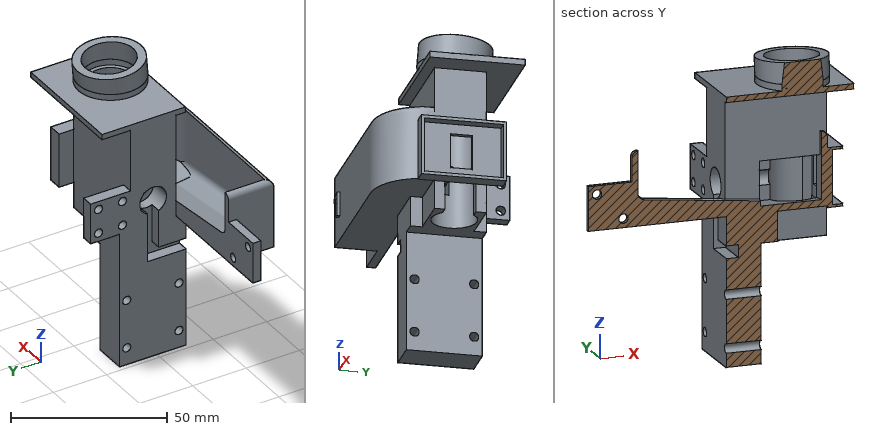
import cadquery as cq
import math


block_thickness = 12.0
block_depth = 25.0
body_bottom = 40.3
body_right = 34.7
body_front = 3.9
body_width = 17.0
body_back = body_front + body_width
body_mid_y = body_front + body_width / 2
step_top = 50.4

plate_length = 43.6
plate_front = 0.3
plate_depth = 31.3
plate_thickness = 2.0
plate_top = 90.4
tube_x = 26.1
tube_outer_d = 24.0
tube_inner_d = 18.0
bore_d = 15.0
collar_height = 2.2
tube_tilt = 4.5
overall_height = 99.9

guard_left = -32.2
guard_radius = 17.0
guard_front = body_front - guard_radius
guard_corner_x = body_right - guard_radius
guard_top = 75.5
guard_wall = 2.2
guard_round = 2.1
floor_round = 2.5
trough_fall_angle = math.radians(6.5)
side_slope_ratio = math.tan(math.radians(8.0))
chute_left = 11.8
chute_sill = 52.7

tab_height = 15.1
tab_top = step_top + tab_height
hole_d = 3.0
hole_inset = 3.0
hole_pitch = 9.0
tab_holes_z = (tab_top - hole_inset, tab_top - hole_inset - hole_pitch)
guard_tab_length = 14.8
guard_tab_thickness = 3.0
body_tab_back = 35.9
body_tab_thickness = 4.2

block_holes_y = (2.7, 22.3)
block_holes_z = (6.4, 24.4)

port_z = 59.1
port_d = 5.0
port_seat_d = 10.0
port_seat_depth = 8.0
groove_width = 4.1
groove_bottom = 36.5

chamber_right = body_right - guard_wall
chamber_top = 67.4
slot_width = 10.2

frame_thickness = 5.1
frame_width = 28.0
frame_height = 20.2
frame_bottom = 49.8
frame_rim = 1.0
frame_skin = 1.6
window_width = 7.2
window_height = 11.6

mark_right = -24.8
mark_bottom = 58.6
mark_height = 8.0
mark_width = 3.7
mark_stem = 1.8
mark_flag_drop = 1.2
mark_flag_end = 1.4
mark_depth = 1.0


def box(x0, x1, y0, y1, z0, z1):
    """Box between two corners."""
    return cq.Workplane("XY").box(x1 - x0, y1 - y0, z1 - z0, centered=False).translate((x0, y0, z0))


def rod_x(diameter, y, z, x0, x1):
    """Cylinder along X."""
    return cq.Workplane("YZ", origin=(x0, y, z)).circle(diameter / 2).extrude(x1 - x0)


def rod_y(diameter, x, z, y0, y1):
    """Cylinder along Y."""
    return cq.Workplane("XZ", origin=(x, y0, z)).circle(diameter / 2).extrude(y0 - y1)


def guard_prism(inset, z0, z1):
    """Upright prism of the guard outline, inset from its outer wall."""
    radius = guard_radius - inset
    diagonal = radius * math.sqrt(0.5)
    return (
        cq.Workplane("XY", origin=(0, 0, z0))
        .moveTo(guard_left + inset, body_front)
        .lineTo(guard_left + inset, body_front - radius)
        .lineTo(guard_corner_x, body_front - radius)
        .threePointArc(
            (guard_corner_x + diagonal, body_front - diagonal),
            (guard_corner_x + radius, body_front),
        )
        .close()
        .extrude(z1 - z0)
    )


def make_body():
    body = box(0, block_thickness, 0, block_depth, 0, step_top)
    body = body.union(box(0, guard_corner_x, 0, block_depth, body_bottom, step_top))
    return body.union(box(0, body_right, body_front, body_back, body_bottom, plate_top - plate_thickness))


def make_plate_and_tube():
    """Top plate, upright collar and the tube that leans back from the collar."""
    plate = box(
        0, plate_length, plate_front, plate_front + plate_depth, plate_top - plate_thickness, plate_top
    )
    collar_top = plate_top + collar_height
    tilt = math.radians(tube_tilt)
    rise = overall_height - collar_top - tube_outer_d / 2 * math.sin(tilt)
    tube_length = rise / math.cos(tilt)
    pivot = cq.Workplane("XY", origin=(tube_x, body_mid_y, collar_top))
    tilt_axis = ((tube_x, body_mid_y, collar_top), (tube_x + 1, body_mid_y, collar_top))
    below_collar_top = pivot.rect(2 * tube_outer_d, 2 * tube_outer_d).extrude(-tube_outer_d)

    def leaning(diameter):
        base = pivot.workplane(offset=-collar_height)
        rod = base.circle(diameter / 2).extrude(collar_height + tube_length)
        return rod.rotate(*tilt_axis, -tube_tilt).cut(below_collar_top)

    def upright(diameter):
        return pivot.circle(diameter / 2).extrude(-collar_height)

    tube = leaning(tube_outer_d).union(upright(tube_outer_d))
    tube = tube.cut(leaning(tube_inner_d)).cut(upright(tube_inner_d))
    return plate.union(tube)


def make_trough(right):
    """Space over the V-shaped guard floor, which falls towards the body, with rounds along the walls."""
    left = guard_left + guard_wall
    front = guard_front + guard_wall
    valley_y = (front + body_front) / 2
    half_width = 2 * (body_front - valley_y)
    side_rise = half_width * side_slope_ratio
    valley_z = chute_sill + (body_front - valley_y) * side_slope_ratio
    fall_line = cq.Vector(math.cos(trough_fall_angle), 0, -math.sin(trough_fall_angle))
    section_plane = cq.Plane(
        origin=(chute_left, valley_y, valley_z), xDir=(0, 1, 0), normal=fall_line
    )
    section = [
        (-half_width, side_rise),
        (0, 0),
        (half_width, side_rise),
        (half_width, guard_top),
        (-half_width, guard_top),
    ]
    wedge = cq.Workplane(section_plane).polyline(section).close().extrude(overall_height, both=True)
    trough = wedge.intersect(box(left, right, front, body_front, step_top, guard_top))
    end_edges = trough.faces("<X").edges("not (|Y or |Z)")
    front_edge = trough.faces("<Y").edges("not (|X or |Z)")
    return end_edges.add(front_edge).fillet(floor_round)


def make_space_over_chute():
    """Space over the plane that slopes from the guard's front wall down into the body."""
    front = guard_front + guard_wall
    sill_run = body_mid_y - body_front
    section = [
        (front, chute_sill + (body_front - front) * side_slope_ratio),
        (body_mid_y, chute_sill - sill_run * side_slope_ratio),
        (body_mid_y, guard_top),
        (front, guard_top),
    ]
    space = cq.Workplane("YZ", origin=(chute_left, 0, 0)).polyline(section).close()
    return space.extrude(chamber_right - chute_left)


def make_guard():
    guard = guard_prism(0, step_top, guard_top)
    guard = guard.faces(">Z").edges("not >Y").fillet(guard_round)

    chute = make_space_over_chute().intersect(guard_prism(guard_wall, step_top, guard_top))
    front = guard_front + guard_wall
    run_out = box(chute_left, guard_corner_x + floor_round, front, front + floor_round, step_top, guard_top)
    chute = chute.cut(run_out.cut(make_trough(guard_corner_x + floor_round)))
    guard = guard.cut(make_trough(chute_left)).cut(chute)

    tab_left = guard_left - guard_tab_length
    tab_front = body_front - guard_tab_thickness
    guard = guard.union(box(tab_left, guard_left, tab_front, body_front, step_top, tab_top))
    for i, z in enumerate(tab_holes_z):
        x = tab_left + hole_inset + i * hole_pitch
        guard = guard.cut(rod_y(hole_d, x, z, tab_front, body_front))
    return guard.union(make_mark())


def make_mark():
    """Raised index mark near the guard's left end."""
    left = mark_right - mark_width
    stem_left = mark_right - mark_stem
    top = mark_bottom + mark_height
    outline = [
        (mark_right, mark_bottom),
        (mark_right, top),
        (left, top - mark_flag_drop),
        (left, top - mark_flag_drop - mark_flag_end),
        (stem_left, top - mark_stem),
        (stem_left, mark_bottom),
    ]
    return cq.Workplane("XZ", origin=(0, guard_front, 0)).polyline(outline).close().extrude(mark_depth)


def make_frame():
    """Shallow tray on the right wall, open to the right, with a window in its floor."""
    y0 = body_mid_y - frame_width / 2
    y1 = y0 + frame_width
    z0 = frame_bottom
    z1 = z0 + frame_height
    x0 = body_right
    x1 = x0 + frame_thickness
    frame = box(x0, x1, y0, y1, z0, z1)
    return frame.cut(
        box(x0 + frame_skin, x1, y0 + frame_rim, y1 - frame_rim, z0 + frame_rim, z1 - frame_rim)
    )


def make_body_tab():
    tab = box(0, body_tab_thickness, body_mid_y, body_tab_back, step_top, tab_top)
    for y in (body_tab_back - hole_inset, body_tab_back - hole_inset - hole_pitch):
        for z in tab_holes_z:
            tab = tab.cut(rod_x(hole_d, y, z, 0, body_tab_thickness))
    return tab


def cut_chamber(part):
    """Vertical bore, front opening, and the slot and window through the right side."""
    bore = cq.Workplane("XY", origin=(tube_x, body_mid_y, 0)).circle(bore_d / 2).extrude(overall_height)
    opening = make_space_over_chute().intersect(
        box(chute_left, chamber_right, body_front, body_mid_y, body_bottom, chamber_top)
    )
    slot_front = body_mid_y - slot_width / 2
    slot = box(tube_x, body_right, slot_front, slot_front + slot_width, body_bottom, chamber_top)
    window_front = body_mid_y - window_width / 2
    window_bottom = frame_bottom + (frame_height - window_height) / 2
    window = box(
        body_right,
        body_right + frame_skin,
        window_front,
        window_front + window_width,
        window_bottom,
        window_bottom + window_height,
    )
    return part.cut(bore).cut(opening).cut(slot).cut(window)


def cut_port(part):
    """Side port into the chamber, with an L-shaped cable groove from its seat to the front face."""
    groove_left = body_mid_y - groove_width / 2
    groove_right = body_mid_y + groove_width / 2
    part = part.cut(rod_x(port_d, body_mid_y, port_z, 0, tube_x))
    part = part.cut(rod_x(port_seat_d, body_mid_y, port_z, 0, port_seat_depth))
    part = part.cut(box(0, groove_width, groove_left, groove_right, groove_bottom, port_z))
    return part.cut(box(0, groove_width, 0, groove_right, groove_bottom, groove_bottom + groove_width))


def cut_block_holes(part):
    for y in block_holes_y:
        for z in block_holes_z:
            part = part.cut(rod_x(hole_d, y, z, 0, block_thickness))
    return part


result = make_body().union(make_guard()).union(make_plate_and_tube())
result = result.union(make_frame()).union(make_body_tab())
result = cut_block_holes(cut_port(cut_chamber(result)))